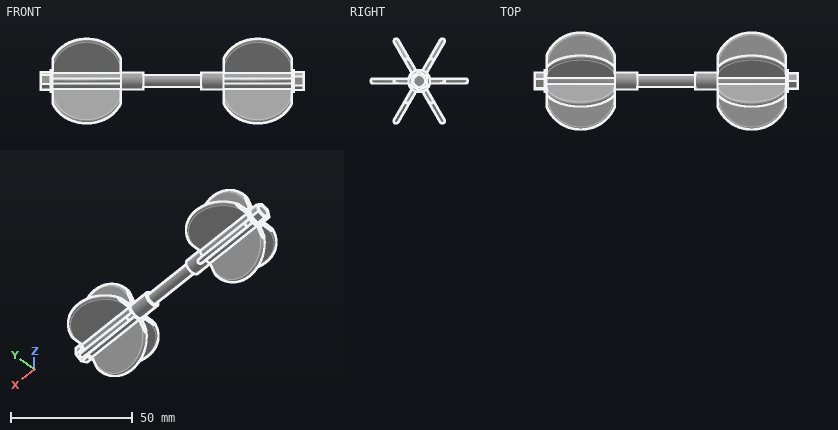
import cadquery as cq
import math

AXLE_LENGTH = 108.0
AXLE_DIAMETER = 5.0

NUT_LENGTH = 5.0
NUT_ACROSS_FLATS = 6.5
NUT_ACROSS_CORNERS = NUT_ACROSS_FLATS / math.cos(math.radians(30))
FLANGE_DIAMETER = 9.0
FLANGE_THICKNESS = 1.0
LEFT_NUT_TURN = -12.0
RIGHT_NUT_TURN = 0.0

HUB_DIAMETER = FLANGE_DIAMETER
COLLAR_DIAMETER = 7.0
COLLAR_LENGTH = 9.2
FIN_COUNT = 6
FIN_WIDTH = 28.0
FIN_THICKNESS = 2.0
FIN_TIP_RADIUS = 39.9 / 2
FIN_ARC_RADIUS = 15.1

HALF_LENGTH = AXLE_LENGTH / 2
WHEEL_OUTER_FACE = HALF_LENGTH - NUT_LENGTH


def x_cylinder(diameter, start, length):
    """Cylinder on the X axis that begins at X = start."""
    return cq.Workplane("YZ", origin=(start, 0, 0)).circle(diameter / 2).extrude(length)


def make_axle():
    return x_cylinder(AXLE_DIAMETER, -HALF_LENGTH, AXLE_LENGTH)


def make_fin():
    """Upright fin on the +X wheel: a disc with a fully rounded rim, cut off at both wheel faces."""
    half_thickness = FIN_THICKNESS / 2
    flat_radius = FIN_ARC_RADIUS - half_thickness
    middle_x = WHEEL_OUTER_FACE - FIN_WIDTH / 2
    disc_centre = (middle_x, 0, FIN_TIP_RADIUS - FIN_ARC_RADIUS)
    disc = (
        cq.Workplane("XY", origin=disc_centre)
        .moveTo(0, -half_thickness)
        .lineTo(flat_radius, -half_thickness)
        .threePointArc((FIN_ARC_RADIUS, 0), (flat_radius, half_thickness))
        .lineTo(0, half_thickness)
        .close()
        .revolve(360, (0, 0, 0), (0, 1, 0))
    )
    block = cq.Workplane("XY", origin=(middle_x, 0, 0)).box(
        FIN_WIDTH, FIN_THICKNESS, FIN_TIP_RADIUS, centered=(True, True, False)
    )
    return disc.intersect(block)


def make_wheel():
    """Wheel at the +X end: hub, fins, inner collar and a bore for the axle."""
    hub_start = WHEEL_OUTER_FACE - FIN_WIDTH
    collar_start = hub_start - COLLAR_LENGTH
    hub = x_cylinder(HUB_DIAMETER, hub_start, FIN_WIDTH)
    wheel = hub.union(x_cylinder(COLLAR_DIAMETER, collar_start, COLLAR_LENGTH))
    fin = make_fin()
    first_fin_angle = 90
    for index in range(FIN_COUNT):
        angle = first_fin_angle + index * 360 / FIN_COUNT
        wheel = wheel.union(fin.rotate((0, 0, 0), (1, 0, 0), angle))
    return wheel.cut(x_cylinder(AXLE_DIAMETER, collar_start, COLLAR_LENGTH + FIN_WIDTH))


def make_nut(turn):
    """Nut at the +X end, with its hexagon turned about X."""
    hexagon = (
        cq.Workplane("YZ", origin=(WHEEL_OUTER_FACE, 0, 0))
        .polygon(6, NUT_ACROSS_CORNERS)
        .extrude(NUT_LENGTH)
        .rotate((0, 0, 0), (1, 0, 0), 90 + turn)
    )
    flange = x_cylinder(FLANGE_DIAMETER, WHEEL_OUTER_FACE, FLANGE_THICKNESS)
    bore = x_cylinder(AXLE_DIAMETER, WHEEL_OUTER_FACE, NUT_LENGTH)
    return hexagon.union(flange).cut(bore)


axle = make_axle()
bodies = [axle.val()]
for nut_turn, at_left in ((LEFT_NUT_TURN, True), (RIGHT_NUT_TURN, False)):
    for body in (make_wheel(), make_nut(nut_turn)):
        placed = body.mirror("YZ") if at_left else body
        bodies.append(placed.val())

result = cq.Compound.makeCompound(bodies)